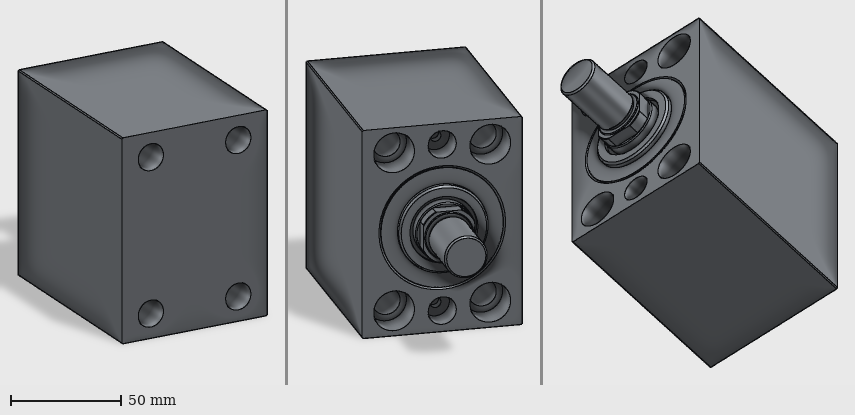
import cadquery as cq


total_length = 140.0
rod_reach = 42.0
housing_length = total_length - rod_reach
housing_width = 75.0
housing_height = 100.0
housing_edge_chamfer = 0.5

mount_spacing_y = 45.1
mount_spacing_z = 75.9
mount_hole_diameter = 13.0
counterbore_diameter = 19.0
counterbore_depth = 14.0

port_spacing_z = 79.8
port_diameter = 13.2
port_depth = 12.0
port_pilot_diameter = 5.2
port_pilot_depth = 4.2

gland_diameter = 57.4
gland_depth = 14.0
pocket_chamfer = 1.0
boss_diameter = 42.0
boss_height = 3.0
boss_chamfer = 1.0

wiper_diameter = 31.8
wiper_recess = 2.1
wiper_length = 4.9

rod_diameter = 28.0
rod_chamfer = 0.5
thread_diameter = 20.0
thread_length = 28.1
tip_chamfer = 0.8
runout_length = 0.4
undercut_diameter = 18.2
undercut_length = 1.3
land_diameter = 23.0
land_length = 0.5
land_chamfer = 0.4
collar_diameter = 27.2
collar_length = 6.0
collar_chamfer = 0.3
across_flats = 24.1


def cylinder(start_x, length, diameter):
    """Solid cylinder on the rod axis, running toward +X from start_x."""
    return cq.Workplane("YZ", origin=(start_x, 0, 0)).circle(diameter / 2).extrude(length)


def chamfered_cylinder(start_x, length, diameter, chamfer):
    """Cylinder on the rod axis whose -X rim is chamfered."""
    return cylinder(start_x, length, diameter).faces("<X").edges().chamfer(chamfer)


def bores(start_x, length, diameter, spots):
    """Cylinders along +X at the given (Y, Z) spots, used as cutters."""
    return cq.Workplane("YZ", origin=(start_x, 0, 0)).pushPoints(spots).circle(diameter / 2).extrude(length)


def make_housing():
    block = (
        cq.Workplane("YZ")
        .rect(housing_width, housing_height)
        .extrude(housing_length)
        .edges("|X")
        .chamfer(housing_edge_chamfer)
    )

    pocket = cylinder(0, gland_depth, gland_diameter)
    block = block.cut(pocket)
    block = block.faces("<X").edges(cq.selectors.RadiusNthSelector(0)).chamfer(pocket_chamfer)

    mount_spots = [
        (side_y * mount_spacing_y / 2, side_z * mount_spacing_z / 2)
        for side_y in (-1, 1)
        for side_z in (-1, 1)
    ]
    block = block.cut(bores(0, housing_length, mount_hole_diameter, mount_spots))
    block = block.cut(bores(0, counterbore_depth, counterbore_diameter, mount_spots))

    port_spots = [(0, side_z * port_spacing_z / 2) for side_z in (-1, 1)]
    block = block.cut(bores(0, port_depth, port_diameter, port_spots))
    return block.cut(bores(port_depth, port_pilot_depth, port_pilot_diameter, port_spots))


def make_gland():
    boss = chamfered_cylinder(-boss_height, boss_height, boss_diameter, boss_chamfer)
    gland = cylinder(0, gland_depth, gland_diameter).union(boss)
    gland = gland.cut(cylinder(-boss_height, boss_height + gland_depth, rod_diameter))
    return gland.cut(cylinder(-boss_height, wiper_recess + wiper_length, wiper_diameter))


def make_wiper():
    wiper_start = wiper_recess - boss_height
    ring = cylinder(wiper_start, wiper_length, wiper_diameter)
    return ring.cut(cylinder(wiper_start, wiper_length, rod_diameter))


def make_rod():
    thread_start = -rod_reach
    undercut_start = thread_start + thread_length
    land_start = undercut_start + undercut_length
    collar_start = land_start + land_length
    shaft_start = collar_start + collar_length

    runout_depth = (thread_diameter - undercut_diameter) / 2
    thread = chamfered_cylinder(thread_start, thread_length, thread_diameter, tip_chamfer)
    thread = thread.faces(">X").edges().chamfer(runout_length, runout_depth)
    undercut = cylinder(undercut_start, undercut_length, undercut_diameter)

    land = chamfered_cylinder(land_start, land_length, land_diameter, land_chamfer)
    flats = cq.Workplane("YZ", origin=(collar_start, 0, 0)).rect(across_flats, across_flats)
    flats = flats.extrude(collar_length)
    disc = cylinder(collar_start, collar_length, collar_diameter).edges("%CIRCLE").chamfer(collar_chamfer)
    collar = disc.intersect(flats)

    shaft_length = gland_depth - shaft_start
    shaft = chamfered_cylinder(shaft_start, shaft_length, rod_diameter, rod_chamfer)
    return thread.union(undercut).union(land).union(collar).union(shaft)


housing = make_housing()
gland = make_gland()
wiper = make_wiper()
rod = make_rod()

result = cq.Compound.makeCompound([housing.val(), gland.val(), wiper.val(), rod.val()])